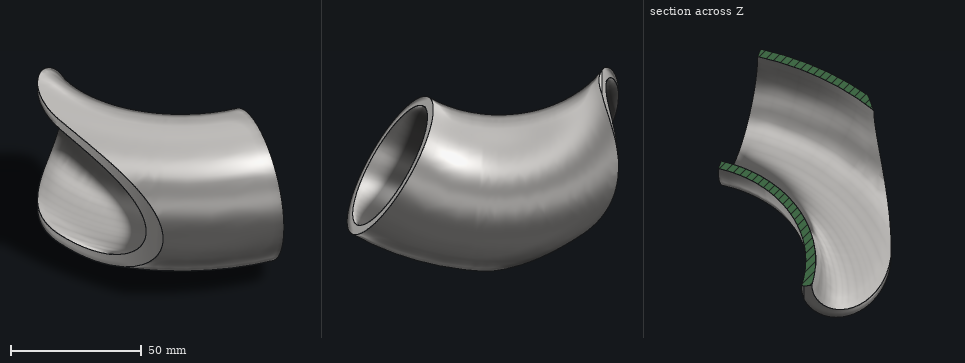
import cadquery as cq
import math

outer_reach = 106.2
pipe_diameter = 60.3
wall = 4.0
bend_angle = 90

pipe_radius = pipe_diameter / 2
bore_radius = pipe_radius - wall
bend_radius = outer_reach - pipe_radius

tight_radius = 38.2
tight_center_x = 35.2
tight_center_y = -32.4
wide_radius = 184.7
blend_angle = math.radians(16.5)

overhang = 2.7


def swept_pipe(radius):
    """Solid round bar bent about the Z axis, from the +X side towards -Y."""
    return (
        cq.Workplane("XZ")
        .center(bend_radius, 0)
        .circle(radius)
        .revolve(bend_angle, (-bend_radius, 0), (-bend_radius, -1))
    )


def point_on_arc(center, radius, angle):
    """Point of an arc at an angle measured from -Y towards +X."""
    return (center[0] + radius * math.sin(angle), center[1] - radius * math.cos(angle))


def angle_at_x(center, radius, x):
    return math.asin((x - center[0]) / radius)


def saddle_cutter():
    """Block below the two-arc saddle profile, taller than the pipe."""
    left = -overhang
    right = outer_reach + overhang
    bottom = -outer_reach - overhang

    tight_center = (tight_center_x, tight_center_y)
    center_step = wide_radius - tight_radius
    wide_center = (
        tight_center_x - center_step * math.sin(blend_angle),
        tight_center_y + center_step * math.cos(blend_angle),
    )

    tight_start = angle_at_x(tight_center, tight_radius, left)
    wide_end = angle_at_x(wide_center, wide_radius, right)
    start = point_on_arc(tight_center, tight_radius, tight_start)
    tight_middle = point_on_arc(tight_center, tight_radius, (tight_start + blend_angle) / 2)
    blend = point_on_arc(tight_center, tight_radius, blend_angle)
    wide_middle = point_on_arc(wide_center, wide_radius, (blend_angle + wide_end) / 2)
    end = point_on_arc(wide_center, wide_radius, wide_end)

    return (
        cq.Workplane("XY")
        .moveTo(*start)
        .threePointArc(tight_middle, blend)
        .threePointArc(wide_middle, end)
        .lineTo(right, bottom)
        .lineTo(left, bottom)
        .close()
        .extrude(pipe_radius + overhang, both=True)
    )


elbow = swept_pipe(pipe_radius).cut(swept_pipe(bore_radius))
result = elbow.cut(saddle_cutter())